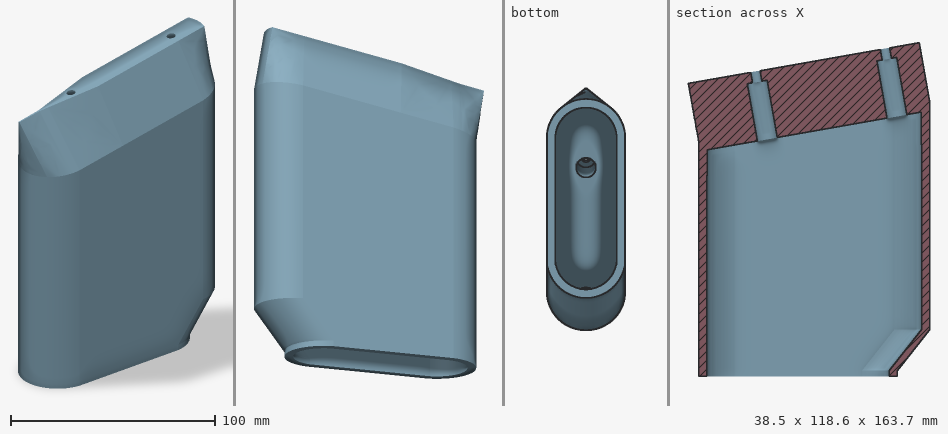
import cadquery as cq
import math

width = 38.5
body_length = 113.5
cap_depth = 17.5
wall = 4.3

foot_height = 2.8
lean_top = 22.9
foot_setback = 15.9

part_height = 163.7
slope = math.radians(10)
head_height = 29.6

crest_width = 12.6
point_start = 69.4
ridge_start = 102.3
ridge_half_width = 0.5
tip_half_width = 0.3
nose_half_width = 11.1

hole_stations = (17.2, 81.7)
hole_diameter = 4.5
counterbore_diameter = 9.7
hole_land = 5.4

half_width = width / 2
crest_half_width = crest_width / 2
rear = body_length / 2
front = -rear
cap_radius = (half_width**2 + cap_depth**2) / (2 * cap_depth)
slope_length = body_length / math.cos(slope)
rear_flat_station = cap_depth / math.cos(slope)
front_flat_station = slope_length - rear_flat_station
head_base_rear_height = part_height - head_height * math.cos(slope)


def slope_plane(offset):
    """Plane parallel to the slope; local Y runs up it, origin above the body's rear apex."""
    base = cq.Plane(
        origin=(0, rear, head_base_rear_height),
        xDir=(1, 0, 0),
        normal=(0, -math.sin(slope), math.cos(slope)),
    )
    return cq.Plane(origin=base.toWorldCoords((0, 0, offset)), xDir=base.xDir, normal=base.zDir)


base_plane = slope_plane(0)
crest_plane = slope_plane(head_height)



def outline(height, setback, inset):
    """Obround section with its rear end moved forward by the setback, shrunk by the inset."""
    side = half_width - inset
    rear_flat = rear - cap_depth - setback
    front_flat = front + cap_depth
    return (
        cq.Workplane("XY", origin=(0, 0, height))
        .moveTo(side, front_flat)
        .lineTo(side, rear_flat)
        .threePointArc((0, rear - setback - inset), (-side, rear_flat))
        .lineTo(-side, front_flat)
        .threePointArc((0, front + inset), (side, front_flat))
        .close()
    )


def upright_body(inset):
    """Foot, leaning corner and straight body, trimmed parallel to the slope."""
    foot = outline(0, foot_setback, inset).extrude(foot_height)
    lean = cq.Workplane(obj=cq.Solid.makeLoft(
        [
            outline(foot_height, foot_setback, inset).wire().val(),
            outline(lean_top, 0, inset).wire().val(),
        ],
        True,
    ))
    straight = outline(lean_top, 0, inset).extrude(part_height - lean_top)
    trim_size = 3 * body_length
    trim = (
        cq.Workplane(slope_plane(-inset))
        .rect(trim_size, trim_size)
        .extrude(trim_size)
    )
    return foot.union(lean).union(straight.cut(trim))



def cap_angle(x):
    """Angle from +X, about the centre of a rounded end, of the point at the given X."""
    return math.degrees(math.acos(x / cap_radius))


def base_arc(at_rear, angle_start, angle_end):
    """Piece of a rounded end as the sloping plane cuts it: an arc of an ellipse."""
    centre_y = -cap_radius if at_rear else cap_radius - body_length
    return cq.Edge.makeEllipse(
        cap_radius,
        cap_radius / math.cos(slope),
        base_plane.toWorldCoords((0, centre_y / math.cos(slope), 0)),
        base_plane.zDir,
        base_plane.xDir,
        angle_start,
        angle_end,
    )


def line_on(plane, start, end):
    """Straight edge between two (half width, station) points of a sloping plane."""
    ends = [plane.toWorldCoords((x, -station, 0)) for x, station in (start, end)]
    return cq.Edge.makeLine(*ends)


def crest_outline():
    """Pencil-shaped top: edges of the +X side from front to rear, the tip and the rear arc."""
    narrowing = (front_flat_station - point_start) / (ridge_start - point_start)
    front_flat_crest = crest_half_width + narrowing * (ridge_half_width - crest_half_width)
    rear_corner = cap_radius - math.sqrt(cap_radius**2 - crest_half_width**2)

    points = [
        (tip_half_width, slope_length),
        (ridge_half_width, ridge_start),
        (front_flat_crest, front_flat_station),
        (crest_half_width, point_start),
        (crest_half_width, rear_flat_station),
        (crest_half_width, rear_corner),
    ]
    side = [line_on(crest_plane, start, end) for start, end in zip(points, points[1:])]
    tip = line_on(crest_plane, (-tip_half_width, slope_length), (tip_half_width, slope_length))
    rear_arc = cq.Edge.makeThreePointArc(
        crest_plane.toWorldCoords((crest_half_width, -rear_corner, 0)),
        crest_plane.toWorldCoords((0, 0, 0)),
        crest_plane.toWorldCoords((-crest_half_width, -rear_corner, 0)),
    )
    return side, tip, rear_arc


def base_outline():
    """Sloping outline of the body, split to pair edge by edge with the crest outline."""
    flat_angle = cap_angle(half_width)
    crest_angle = cap_angle(crest_half_width)
    nose_angle = cap_angle(nose_half_width)
    ridge_reach = cap_radius - (slope_length - ridge_start) * math.cos(slope)
    ridge_angle = math.degrees(math.asin(ridge_reach / cap_radius))

    front_corner = (half_width, front_flat_station)
    shoulder = (half_width, point_start)
    rear_corner = (half_width, rear_flat_station)
    side = [
        base_arc(False, -nose_angle, -ridge_angle),
        base_arc(False, -ridge_angle, -flat_angle),
        line_on(base_plane, front_corner, shoulder),
        line_on(base_plane, shoulder, rear_corner),
        base_arc(True, flat_angle, crest_angle),
    ]
    nose = base_arc(False, nose_angle - 180, -nose_angle)
    rear_arc = base_arc(True, crest_angle, 180 - crest_angle)
    return side, nose, rear_arc


def flat_cover(side, front_edge, rear_edge):
    """Flat face bounded by an outline, given the edges of its +X side and its two ends."""
    other_side = [edge.mirror("YZ") for edge in side]
    loop = cq.Wire.assembleEdges([front_edge] + side + [rear_edge] + other_side[::-1])
    return cq.Face.makeFromWires(loop)


def head():
    """Solid with a ruled skin from the body's sloping outline up to the crest."""
    base_side, nose, base_rear = base_outline()
    crest_side, tip, crest_rear = crest_outline()
    side_faces = [cq.Face.makeRuledSurface(low, high) for low, high in zip(base_side, crest_side)]
    faces = side_faces + [face.mirror("YZ") for face in side_faces]
    faces.append(cq.Face.makeRuledSurface(nose, tip))
    faces.append(cq.Face.makeRuledSurface(base_rear, crest_rear))
    faces.append(flat_cover(base_side, nose, base_rear))
    faces.append(flat_cover(crest_side, tip, crest_rear))
    return cq.Workplane(obj=cq.Solid.makeSolid(cq.Shell.makeShell(faces)))



def screw_holes(body):
    """Narrow holes from the top face, opening into wide counterbores down to the cavity."""
    hole_centres = [(0, -station) for station in hole_stations]
    counterbore_depth = head_height + wall - hole_land
    narrow = (
        cq.Workplane(crest_plane)
        .pushPoints(hole_centres)
        .circle(hole_diameter / 2)
        .extrude(-hole_land)
    )
    wide = (
        cq.Workplane(slope_plane(head_height - hole_land))
        .pushPoints(hole_centres)
        .circle(counterbore_diameter / 2)
        .extrude(-counterbore_depth)
    )
    return body.cut(narrow).cut(wide)


shell = upright_body(0).cut(upright_body(wall)).union(head())
result = screw_holes(shell)